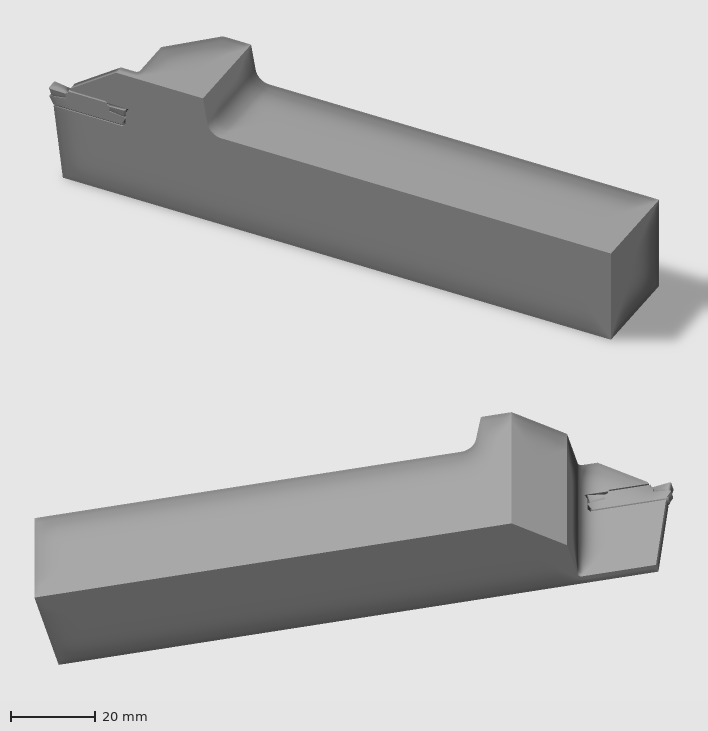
import cadquery as cq
import math


total_length = 150.0
shank_width = 25.0
shank_height = 25.0
head_height = 35.0
blade_thickness = 2.5
front_relief_angle = 7.0
front_bottom_x = 3.7
nose_x = 5.65
nose_height = 26.4
nose_slope_angle = 35.0
head_back_x = 41.1
head_back_angle = 10.0
head_back_radius = 3.7
shoulder_x = 22.6
shoulder_bevel_x = 11.0
shoulder_bevel_y = 10.7
shoulder_fillet = 0.9

insert_length = 20.5
tip_overhang = 0.35
tip_width = blade_thickness + 2 * tip_overhang
tip_land_length = 0.8
tip_corner_radius = 0.4
tip_height = shank_height
tip_relief_angle = 12.0
tip_back_width = blade_thickness
rake_end_x = 4.4
rake_drop = 0.4
block_end_x = 5.05
tip_plan_back_x = block_end_x + 1.0
insert_bevel = 0.42
insert_bottom = 20.05
insert_top = 25.9
heel_x = 0.75
heel_top = 21.3
shelf_front_x = 0.1
shelf_front_bottom = 22.4
shelf_front_top = 22.7
shelf_back_top = 23.2

slot_back_x = 20.45
slot_roof_back_x = 21.2
slot_roof = insert_top - insert_bevel
slot_wall_top = 24.2
slot_floor_end_x = insert_length - heel_x
slot_floor_bevel_top = 20.9


def mirrored(points):
    """The same points on the other end of the insert, in reverse order."""
    return [(insert_length - x, z) for x, z in reversed(points)]


def extrude_side(profile, y_start, y_end):
    """Extrude a closed (X, Z) profile from y_start to y_end."""
    plane = cq.Workplane("XZ", origin=(0, y_start, 0))
    return plane.polyline(profile).close().extrude(y_start - y_end)


def make_holder():
    relief = math.tan(math.radians(front_relief_angle))
    slope = math.tan(math.radians(nose_slope_angle))
    back_lean = math.tan(math.radians(head_back_angle))
    head_front_x = nose_x + (head_height - nose_height) / slope
    head_foot_x = head_back_x + (head_height - shank_height) * back_lean
    block_back_x = insert_length - block_end_x

    slot = [
        (front_bottom_x - insert_bottom * relief, insert_bottom),
        (slot_floor_end_x, insert_bottom),
        (slot_back_x, slot_floor_bevel_top),
        (slot_back_x, slot_wall_top),
        (slot_roof_back_x, slot_roof),
        (block_back_x, slot_roof),
        (block_back_x - insert_bevel, insert_top),
        (nose_x, insert_top),
    ]
    outline = [
        (front_bottom_x, 0),
        *slot,
        (nose_x, nose_height),
        (head_front_x, head_height),
        (head_back_x, head_height),
        (head_foot_x, shank_height),
        (total_length, shank_height),
        (total_length, 0),
    ]
    side = extrude_side(outline, 0, shank_width)
    foot = cq.selectors.NearestToPointSelector((head_foot_x, shank_width / 2, shank_height))
    side = side.edges(foot).fillet(head_back_radius)

    clearance = (
        cq.Workplane("XY")
        .moveTo(0, blade_thickness)
        .lineTo(shoulder_x, blade_thickness)
        .lineTo(shoulder_x, shank_width - shoulder_bevel_y)
        .lineTo(shoulder_x + shoulder_bevel_x, shank_width)
        .lineTo(0, shank_width)
        .close()
        .extrude(head_height)
    )
    inner_corner = cq.selectors.NearestToPointSelector((shoulder_x, blade_thickness, head_height / 2))
    clearance = clearance.edges(inner_corner).fillet(shoulder_fillet)
    return side.cut(clearance)


def make_insert_body():
    front = [
        (heel_x, insert_bottom),
        (heel_x, heel_top),
        (shelf_front_x, shelf_front_bottom),
        (shelf_front_x, shelf_front_top),
        (rake_end_x, shelf_back_top),
        (rake_end_x, tip_height - rake_drop),
        (block_end_x, tip_height),
        (block_end_x, slot_roof),
        (block_end_x + insert_bevel, insert_top),
    ]
    body = extrude_side(front + mirrored(front), 0, blade_thickness)
    heels = cq.selectors.BoxSelector(
        (0, -blade_thickness, 0),
        (insert_length, 2 * blade_thickness, heel_top),
    )
    body = body.edges("|Z").edges(heels).chamfer(insert_bevel)
    body = body.faces(">Z").edges("|X").chamfer(insert_bevel)
    return body.faces("<Z").edges().chamfer(insert_bevel)


def make_tip():
    """Front cutting tip: widest at the edge, relieved backwards and downwards."""
    middle = blade_thickness / 2
    plan = [
        (0, middle - tip_width / 2),
        (tip_land_length, middle - tip_width / 2),
        (tip_plan_back_x, middle - tip_back_width / 2),
        (tip_plan_back_x, middle + tip_back_width / 2),
        (tip_land_length, middle + tip_width / 2),
        (0, middle + tip_width / 2),
    ]
    wedge = (
        cq.Workplane("XY", origin=(0, 0, tip_height))
        .polyline(plan)
        .close()
        .extrude(shelf_front_top - tip_height, taper=tip_relief_angle)
    )
    for _, y in (plan[0], plan[-1]):
        corner = cq.selectors.NearestToPointSelector((0, y, (tip_height + shelf_front_top) / 2))
        wedge = wedge.edges("not #Z").edges(corner).fillet(tip_corner_radius)
    side = [
        (0, shelf_front_top),
        (0, tip_height),
        (rake_end_x, tip_height - rake_drop),
        (rake_end_x, shelf_front_top),
    ]
    return wedge.intersect(extrude_side(side, -tip_width, 2 * tip_width))


def make_insert():
    tip = make_tip()
    back_tip = tip.mirror("YZ").translate((insert_length, 0, 0))
    return make_insert_body().union(tip).union(back_tip)


holder = make_holder()
insert = make_insert()
result = cq.Compound.makeCompound([holder.solids().val(), insert.solids().val()])